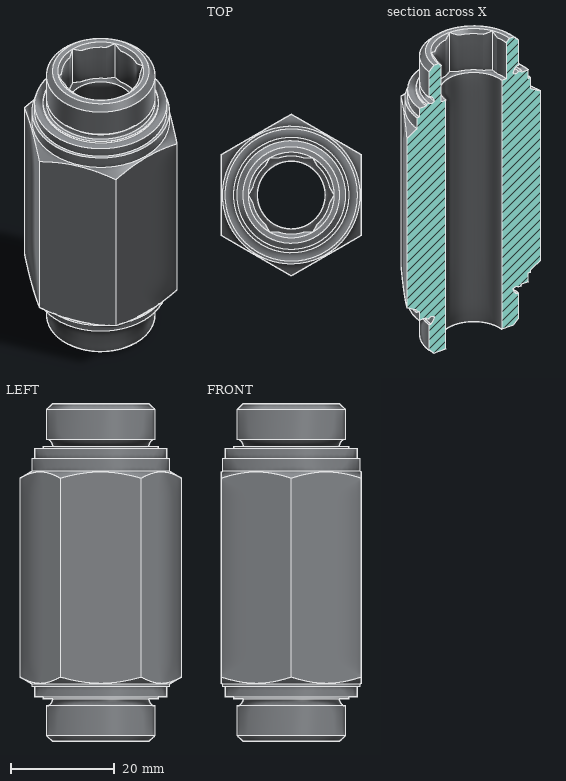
import cadquery as cq
import math

length = 65.0
across_flats = 27.0
across_corners = across_flats / math.cos(math.radians(30))
hex_bottom = 11.05
hex_top = 52.0
hex_chamfer_angle = 30.0

thread_radius = 10.45
end_chamfer_width = 1.2
end_chamfer_height = 1.1
thread_length = 6.9
neck_radius = 9.2
neck_rim_radius = 10.0
neck_sag_ratio = 0.3
neck_length = 1.3
washer_radius = 11.1
washer_recess_radius = 10.45
washer_recess_depth = 0.25
washer_thickness = 0.4
collar_radius = 12.75
collar_thickness = 1.95
shoulder_radius = 13.25

bore_diameter = 13.0
socket_corner_radius = 8.25
socket_round_radius = 7.55
socket_depth = 8.85
socket_chamfer = socket_corner_radius - socket_round_radius


def make_end(shoulder_height):
    """Threaded end standing on its tip at Z = 0, up to the given height."""
    neck_start = thread_length
    neck_end = neck_start + neck_length
    washer_end = neck_end + washer_thickness
    collar_end = washer_end + collar_thickness
    neck_middle_radius = neck_radius + neck_sag_ratio * (neck_rim_radius - neck_radius)
    neck_middle = (neck_middle_radius, neck_start + neck_length / 2)
    recess_middle = ((neck_radius + washer_recess_radius) / 2, neck_end + washer_recess_depth)
    return (
        cq.Workplane("XZ")
        .moveTo(0, 0)
        .lineTo(thread_radius - end_chamfer_width, 0)
        .lineTo(thread_radius, end_chamfer_height)
        .lineTo(thread_radius, neck_start)
        .lineTo(neck_rim_radius, neck_start)
        .threePointArc(neck_middle, (neck_radius, neck_end))
        .threePointArc(recess_middle, (washer_recess_radius, neck_end))
        .lineTo(washer_radius, neck_end)
        .lineTo(washer_radius, washer_end)
        .lineTo(collar_radius, washer_end)
        .lineTo(collar_radius, collar_end)
        .lineTo(shoulder_radius, collar_end)
        .lineTo(shoulder_radius, shoulder_height)
        .lineTo(0, shoulder_height)
        .close()
        .revolve(360, (0, 0, 0), (0, 1, 0))
    )


def make_hex_body():
    """Hexagon with corners on the Y axis, both ends turned to a cone."""
    prism = (
        cq.Workplane("XY", origin=(0, 0, hex_bottom))
        .polygon(6, across_corners)
        .extrude(hex_top - hex_bottom)
        .rotate((0, 0, 0), (0, 0, 1), 30)
    )
    cone_radius = across_corners
    cone_height = (cone_radius - shoulder_radius) * math.tan(math.radians(hex_chamfer_angle))
    envelope = (
        cq.Workplane("XZ")
        .moveTo(0, hex_bottom)
        .lineTo(shoulder_radius, hex_bottom)
        .lineTo(cone_radius, hex_bottom + cone_height)
        .lineTo(cone_radius, hex_top - cone_height)
        .lineTo(shoulder_radius, hex_top)
        .lineTo(0, hex_top)
        .close()
        .revolve(360, (0, 0, 0), (0, 1, 0))
    )
    return prism.intersect(envelope)


def make_socket():
    """Hexagonal socket with relieved flats and a countersunk mouth."""
    floor = cq.Workplane("XY", origin=(0, 0, length - socket_depth))
    hexagon = floor.polygon(6, 2 * socket_corner_radius).extrude(socket_depth)
    relief = floor.circle(socket_round_radius).extrude(socket_depth)
    mouth = (
        cq.Workplane("XZ")
        .moveTo(0, length - socket_chamfer)
        .lineTo(socket_round_radius, length - socket_chamfer)
        .lineTo(socket_corner_radius, length)
        .lineTo(0, length)
        .close()
        .revolve(360, (0, 0, 0), (0, 1, 0))
    )
    return hexagon.union(relief).union(mouth)


bottom_end = make_end(hex_bottom)
top_end = make_end(length - hex_top).rotate((0, 0, 0), (1, 0, 0), 180).translate((0, 0, length))
bore = cq.Workplane("XY").circle(bore_diameter / 2).extrude(length)

result = make_hex_body().union(bottom_end).union(top_end).cut(bore).cut(make_socket())